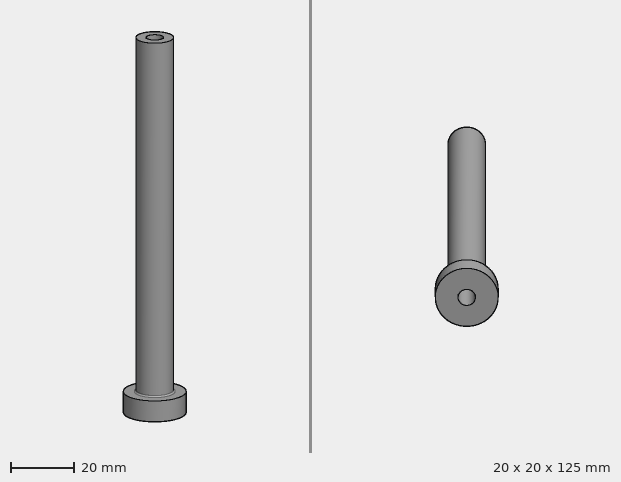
import cadquery as cq

total_length = 125.0
head_diameter = 20.0
head_height = 7.0
shaft_diameter = 12.0
bore_diameter = 5.5
neck_fillet = 0.5

head = cq.Workplane("XY").circle(head_diameter / 2).extrude(head_height)

shaft = cq.Workplane("XY").circle(shaft_diameter / 2).extrude(total_length)
sleeve = head.union(shaft)

neck_edge = cq.selectors.RadiusNthSelector(0)
sleeve = sleeve.faces("<Z[-2]").edges(neck_edge).fillet(neck_fillet)

bore = cq.Workplane("XY").circle(bore_diameter / 2).extrude(total_length)
result = sleeve.cut(bore)